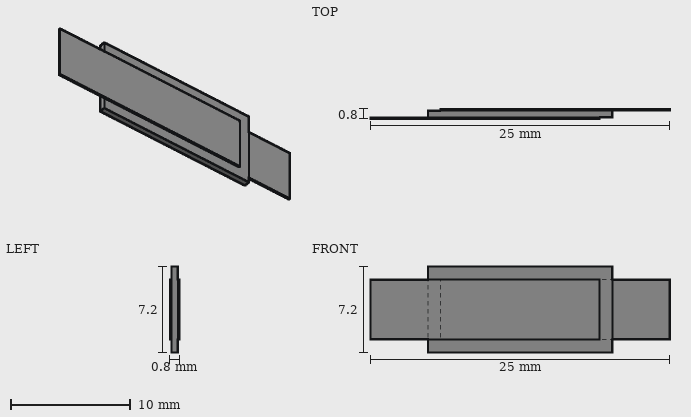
import cadquery as cq

overall_length = 25.0
overall_thickness = 0.8
body_length = 15.4
body_height = 7.2
strip_height = 5.0
strip_thickness = 0.12
end_margin = 1.05

body_thickness = overall_thickness - 2 * strip_thickness
strip_length = (overall_length + body_length) / 2 - end_margin


def strip(side):
    """Flat strip on one broad face: -1 overhangs toward -X on -Y, +1 toward +X on +Y."""
    center_x = side * (overall_length - strip_length) / 2
    center_y = side * (body_thickness + strip_thickness) / 2
    return cq.Workplane("XY").box(strip_length, strip_thickness, strip_height).translate((center_x, center_y, 0))


result = cq.Workplane("XY").box(body_length, body_thickness, body_height)
for side in (-1, 1):
    result = result.union(strip(side))